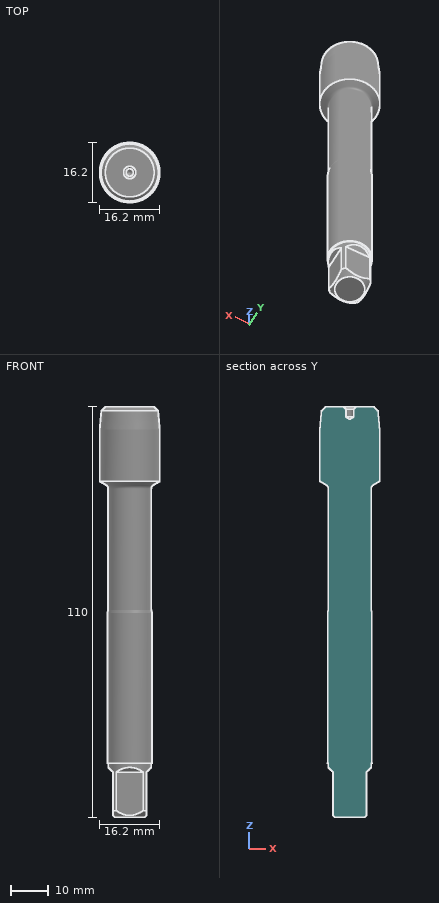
import cadquery as cq
import math

length = 110.0
flat_top_z = 12.1
shank_bottom_z = 14.5
shank_top_z = 54.8
neck_bottom_z = 55.5
head_bottom_z = 90.0
head_taper_z = 103.8

head_diameter = 16.2
head_tip_diameter = 15.3
neck_diameter = 11.7
shank_diameter = 12.0
drive_diameter = 11.5

head_cone_angle = 30.0
neck_fillet = 1.1

tip_chamfer = 1.1
drive_chamfer = 1.8
square_width = 9.0
hole_diameter = 2.0
hole_mouth_diameter = 3.3
hole_depth = 2.8
drill_point_angle = 120.0


def make_body():
    """Revolve the stepped half-profile about Z, with a filleted cone from neck to head."""
    drive_radius = drive_diameter / 2
    head_tip_radius = head_tip_diameter / 2
    neck_radius = neck_diameter / 2
    head_radius = head_diameter / 2
    cone_angle = math.radians(head_cone_angle)
    cone_foot_z = head_bottom_z - (head_radius - neck_radius) * math.tan(cone_angle)
    tangent_length = neck_fillet * math.tan((math.pi / 2 - cone_angle) / 2)
    fillet_bottom_z = cone_foot_z - tangent_length
    fillet_top = (
        neck_radius + tangent_length * math.cos(cone_angle),
        cone_foot_z + tangent_length * math.sin(cone_angle),
    )
    lower_profile = [
        (0, 0),
        (drive_radius - drive_chamfer, 0),
        (drive_radius, drive_chamfer),
        (drive_radius, shank_bottom_z),
        (shank_diameter / 2, shank_bottom_z),
        (shank_diameter / 2, shank_top_z),
        (neck_radius, neck_bottom_z),
        (neck_radius, fillet_bottom_z),
    ]
    profile = (
        cq.Workplane("XZ")
        .polyline(lower_profile)
        .tangentArcPoint(fillet_top, relative=False)
        .lineTo(head_radius, head_bottom_z)
        .lineTo(head_radius, head_taper_z)
        .lineTo(head_tip_radius, length - tip_chamfer)
        .lineTo(head_tip_radius - tip_chamfer, length)
        .lineTo(0, length)
        .close()
    )
    return profile.revolve(360, (0, 0), (0, 1))


def make_flat_cutter():
    """Prism that cuts one drive flat on the +X side, ending in a 45 degree run-out."""
    flat_x = square_width / 2
    outer_x = shank_diameter
    run_out_z = flat_top_z + outer_x - flat_x
    outline = [(flat_x, 0), (outer_x, 0), (outer_x, run_out_z), (flat_x, flat_top_z)]
    half_span = shank_diameter
    return cq.Workplane("XZ").polyline(outline).close().extrude(half_span, both=True)


def make_drive_envelope():
    """Cylinder around the drive end that limits the flats to below the shank."""
    return cq.Workplane("XY").circle(shank_diameter).extrude(shank_bottom_z)


def make_centre_hole():
    """Countersunk blind hole with a drill point in the head face."""
    hole_radius = hole_diameter / 2
    mouth_radius = hole_mouth_diameter / 2
    countersink_bottom_z = length - (mouth_radius - hole_radius)
    hole_bottom_z = length - hole_depth
    point_depth = hole_radius / math.tan(math.radians(drill_point_angle / 2))
    profile = [
        (0, length),
        (mouth_radius, length),
        (hole_radius, countersink_bottom_z),
        (hole_radius, hole_bottom_z),
        (0, hole_bottom_z - point_depth),
    ]
    return cq.Workplane("XZ").polyline(profile).close().revolve(360, (0, 0), (0, 1))


result = make_body()
flat_cutter = make_flat_cutter().intersect(make_drive_envelope())
for turn in range(4):
    result = result.cut(flat_cutter.rotate((0, 0, 0), (0, 0, 1), 90 * turn))
result = result.cut(make_centre_hole())